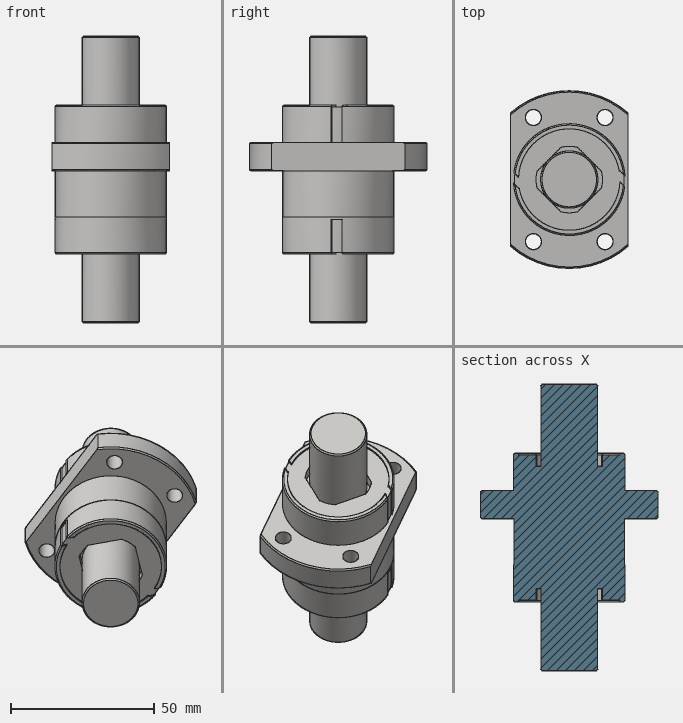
import cadquery as cq
import math

SHAFT_DIAMETER = 20
SHAFT_LENGTH = 100

BODY_DIAMETER = 39
WAIST_DIAMETER = 38.8
BODY_HALF_LENGTH = 26
EDGE_CHAMFER = 0.5

FLANGE_DIAMETER = 62
FLANGE_WIDTH = 41
FLANGE_BOTTOM = 3
FLANGE_THICKNESS = 10
FLANGE_TOP = FLANGE_BOTTOM + FLANGE_THICKNESS
WAIST_BOTTOM = -13

BOLT_HOLE_DIAMETER = 5.5
BOLT_CIRCLE_RADIUS = 25
BOLT_ANGLES = (60, 120, 240, 300)

RECESS_DIAMETER = 35.4
RECESS_DEPTH = 0.6
POCKET_SQUARE = SHAFT_DIAMETER
POCKET_DIAMETER = 23.2
POCKET_DEPTH = 4

SLOT_WIDTH = 2.7
SLOT_LENGTH = 8
SLOT_ANGLE = -45
SLOT_OFFSET = 0.7
SLOT_FLOOR_DIAMETER = 38.2
TOP_SLOT_LENGTH = BODY_HALF_LENGTH - FLANGE_TOP
BOTTOM_SLOT_LENGTH = 12


def disc(diameter, bottom, height):
    return cq.Workplane("XY").workplane(offset=bottom).circle(diameter / 2).extrude(height)


def make_shaft():
    shaft = disc(SHAFT_DIAMETER, -SHAFT_LENGTH / 2, SHAFT_LENGTH)
    return shaft.faces("|Z").chamfer(EDGE_CHAMFER)


def make_flange():
    flange = disc(FLANGE_DIAMETER, FLANGE_BOTTOM, FLANGE_THICKNESS).faces("|Z").chamfer(EDGE_CHAMFER)
    middle = (FLANGE_BOTTOM + FLANGE_TOP) / 2
    flats = cq.Workplane("XY").box(FLANGE_WIDTH, FLANGE_DIAMETER, FLANGE_THICKNESS)
    flange = flange.intersect(flats.translate((0, 0, middle)))
    for angle in BOLT_ANGLES:
        x = BOLT_CIRCLE_RADIUS * math.cos(math.radians(angle))
        y = BOLT_CIRCLE_RADIUS * math.sin(math.radians(angle))
        hole = disc(BOLT_HOLE_DIAMETER, FLANGE_BOTTOM, FLANGE_THICKNESS)
        flange = flange.cut(hole.translate((x, y, 0)))
    return flange


def make_body():
    body = disc(BODY_DIAMETER, -BODY_HALF_LENGTH, 2 * BODY_HALF_LENGTH)
    body = body.faces("|Z").chamfer(EDGE_CHAMFER)
    waist_length = FLANGE_BOTTOM - WAIST_BOTTOM
    waist = disc(WAIST_DIAMETER, WAIST_BOTTOM, waist_length)
    return body.cut(disc(FLANGE_DIAMETER, WAIST_BOTTOM, waist_length).cut(waist))


def slot_pair(slot_length):
    """Cutters for two opposite rim slots running down from the top end."""
    slot = (
        cq.Workplane("XY")
        .box(SLOT_LENGTH, SLOT_WIDTH, slot_length)
        .rotate((0, 0, 0), (0, 0, 1), SLOT_ANGLE)
        .translate((-BODY_DIAMETER / 2, SLOT_OFFSET, BODY_HALF_LENGTH - slot_length / 2))
    )
    slots = slot.union(slot.rotate((0, 0, 0), (0, 0, 1), 180))
    floor_height = slot_length - RECESS_DEPTH
    return slots.cut(disc(SLOT_FLOOR_DIAMETER, BODY_HALF_LENGTH - slot_length, floor_height))


def end_cutter(slot_length):
    """Everything removed from the top end of the body."""
    recess_floor = BODY_HALF_LENGTH - RECESS_DEPTH
    recess = disc(RECESS_DIAMETER, recess_floor, RECESS_DEPTH)
    pocket = (
        cq.Workplane("XY")
        .workplane(offset=recess_floor - POCKET_DEPTH)
        .rect(POCKET_SQUARE, POCKET_SQUARE)
        .extrude(POCKET_DEPTH)
        .rotate((0, 0, 0), (0, 0, 1), 45)
        .intersect(disc(POCKET_DIAMETER, recess_floor - POCKET_DEPTH, POCKET_DEPTH))
    )
    return recess.union(pocket).union(slot_pair(slot_length))


top_cutter = end_cutter(TOP_SLOT_LENGTH)
bottom_cutter = end_cutter(BOTTOM_SLOT_LENGTH).mirror("XY")
body = make_body().cut(top_cutter).cut(bottom_cutter)
result = body.union(make_flange()).union(make_shaft())